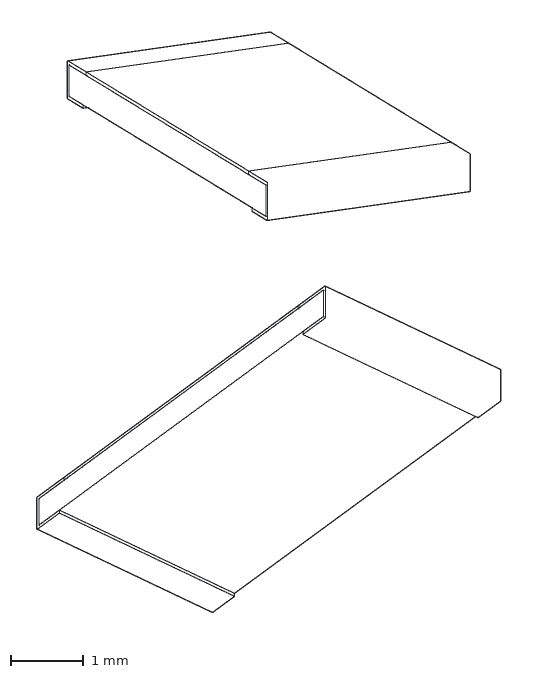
import cadquery as cq

LENGTH = 6.35
WIDTH = 3.1
HEIGHT = 0.55

LAYER = 0.05
TOP_LAP = 0.605
BOTTOM_LAP = 0.5
EDGE_RADIUS = 0.025

SUBSTRATE_LENGTH = LENGTH - 2 * LAYER
SUBSTRATE_HEIGHT = HEIGHT - 2 * LAYER


def make_substrate():
    """Flat ceramic block clasped by both terminals."""
    return (
        cq.Workplane("XY", origin=(0, 0, LAYER))
        .box(SUBSTRATE_LENGTH, WIDTH, SUBSTRATE_HEIGHT, centered=(True, True, False))
    )


def make_coating():
    """Thin layer on the substrate that fills the gap between the top laps."""
    return (
        cq.Workplane("XY", origin=(0, 0, HEIGHT - LAYER))
        .box(LENGTH - 2 * TOP_LAP, WIDTH, LAYER, centered=(True, True, False))
    )


def make_terminal(side):
    """C-shaped end cap; side is -1 for the -X end and +1 for the +X end."""
    outer_x = side * LENGTH / 2
    inner_x = side * SUBSTRATE_LENGTH / 2
    top_lap_x = side * (LENGTH / 2 - TOP_LAP)
    bottom_lap_x = side * (LENGTH / 2 - BOTTOM_LAP)
    profile = [
        (outer_x, 0),
        (outer_x, HEIGHT),
        (top_lap_x, HEIGHT),
        (top_lap_x, HEIGHT - LAYER),
        (inner_x, HEIGHT - LAYER),
        (inner_x, LAYER),
        (bottom_lap_x, LAYER),
        (bottom_lap_x, 0),
    ]
    outer_edges = ">X and |Y" if side > 0 else "<X and |Y"
    cap = cq.Workplane("XZ").polyline(profile).close().extrude(WIDTH / 2, both=True)
    return cap.edges(outer_edges).fillet(EDGE_RADIUS)


substrate = make_substrate()
coating = make_coating()
terminals = [make_terminal(side) for side in (-1, 1)]

result = cq.Compound.makeCompound(
    [substrate.val(), coating.val(), *[terminal.val() for terminal in terminals]]
)